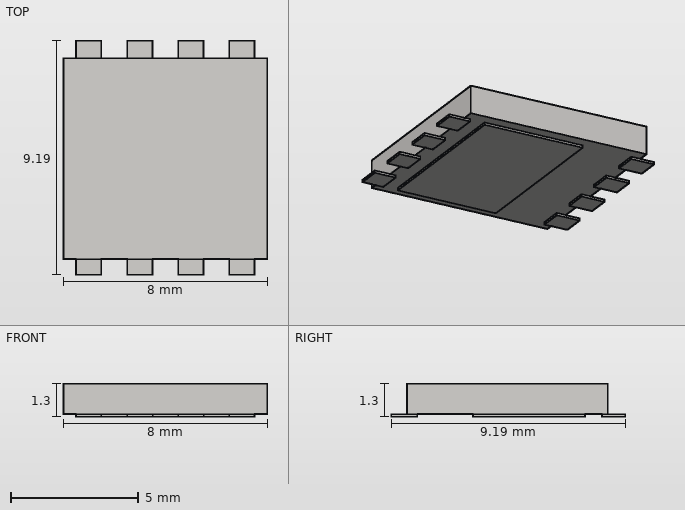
import cadquery as cq

overall_length = 9.19
overall_height = 1.3

body_width = 8.0
front_overhang = 0.62
back_overhang = 0.69

leads_per_row = 4
lead_pitch = 2.0
lead_width = 1.0
front_lead_length = 1.03
back_lead_length = 0.93
lead_thickness = 0.1

pad_length = 4.4
pad_back_inset = 1.58

front_end = -overall_length / 2
back_end = overall_length / 2
row_span = (leads_per_row - 1) * lead_pitch


def make_plate(width, length, thickness, x_center, y_start, z_bottom):
    """Rectangular plate centred on x_center, running from y_start towards +Y."""
    return (
        cq.Workplane("XY")
        .box(width, length, thickness, centered=(True, False, False))
        .translate((x_center, y_start, z_bottom))
    )


def make_body():
    length = overall_length - front_overhang - back_overhang
    height = overall_height - lead_thickness
    return make_plate(body_width, length, height, 0, front_end + front_overhang, lead_thickness)


def make_pad():
    width = row_span + lead_width
    y_start = back_end - pad_back_inset - pad_length
    return make_plate(width, pad_length, lead_thickness, 0, y_start, 0)


def make_lead(x_center, y_start, length):
    return make_plate(lead_width, length, lead_thickness, x_center, y_start, 0)


body = make_body()
pad = make_pad()

leads = []
for index in range(leads_per_row):
    lead_x = index * lead_pitch - row_span / 2
    leads.append(make_lead(lead_x, front_end, front_lead_length))
    leads.append(make_lead(lead_x, back_end - back_lead_length, back_lead_length))

result = cq.Compound.makeCompound([body.val(), pad.val(), *[lead.val() for lead in leads]])